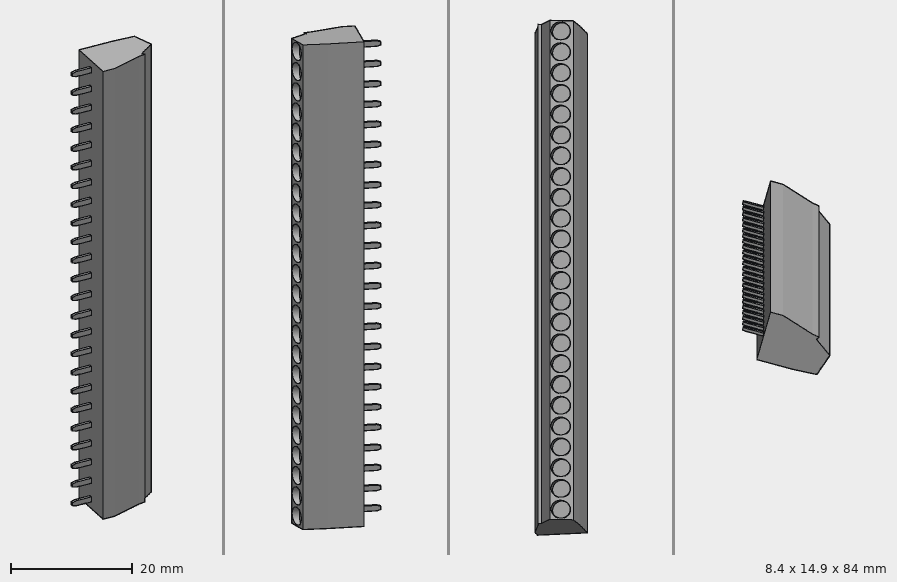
import cadquery as cq

pole_count = 24
pitch = 3.5
length = pole_count * pitch

body_width = 8.4
body_height = 11.4
left_x = -body_width / 2
right_x = body_width / 2
taper_start_y = 6.1
shoulder_inset = 0.22
shoulder_y = 10.2
crest_x = -0.3
notch_x = 1.75
notch_y = 8.55
lip_x = 2.25
lip_y = 8.85
knee_x = 2.45
knee_y = 7.65
right_wall_top_y = 2.15
shoulder_x = left_x + shoulder_inset

recess_diameter = 3.0
recess_x = -2.0
recess_floor_y = 10.15

pin_x = -0.13
pin_width = 0.95
pin_thickness = 0.5
pin_length = 3.5
tip_length = 0.65
tip_width = 0.55
pin_root = 0.5


def make_body():
    return (
        cq.Workplane("XY")
        .moveTo(left_x, 0)
        .lineTo(right_x, 0)
        .lineTo(right_x, right_wall_top_y)
        .lineTo(knee_x, knee_y)
        .lineTo(lip_x, lip_y)
        .lineTo(notch_x, notch_y)
        .lineTo(crest_x, body_height)
        .lineTo(shoulder_x, shoulder_y)
        .lineTo(left_x, taper_start_y)
        .close()
        .extrude(length)
    )


def make_recess(z):
    """Flat-bottomed round cutter along Y, opening through the sloped entry face."""
    floor = cq.Plane(origin=(recess_x, recess_floor_y, z), xDir=(0, 0, 1), normal=(0, 1, 0))
    return cq.Workplane(floor).circle(recess_diameter / 2).extrude(body_height)


def make_pin(z):
    """Flat pin pointing along -Y, narrowing in Z at its tip."""
    half_width = pin_width / 2
    half_tip = tip_width / 2
    taper_y = tip_length - pin_length
    outline = [
        (pin_root, z - half_width),
        (taper_y, z - half_width),
        (-pin_length, z - half_tip),
        (-pin_length, z + half_tip),
        (taper_y, z + half_width),
        (pin_root, z + half_width),
    ]
    return (
        cq.Workplane("YZ", origin=(pin_x, 0, 0))
        .polyline(outline)
        .close()
        .extrude(pin_thickness / 2, both=True)
    )


result = make_body()
for pole in range(pole_count):
    pole_z = (pole + 0.5) * pitch
    result = result.cut(make_recess(pole_z))
    result = result.union(make_pin(pole_z))